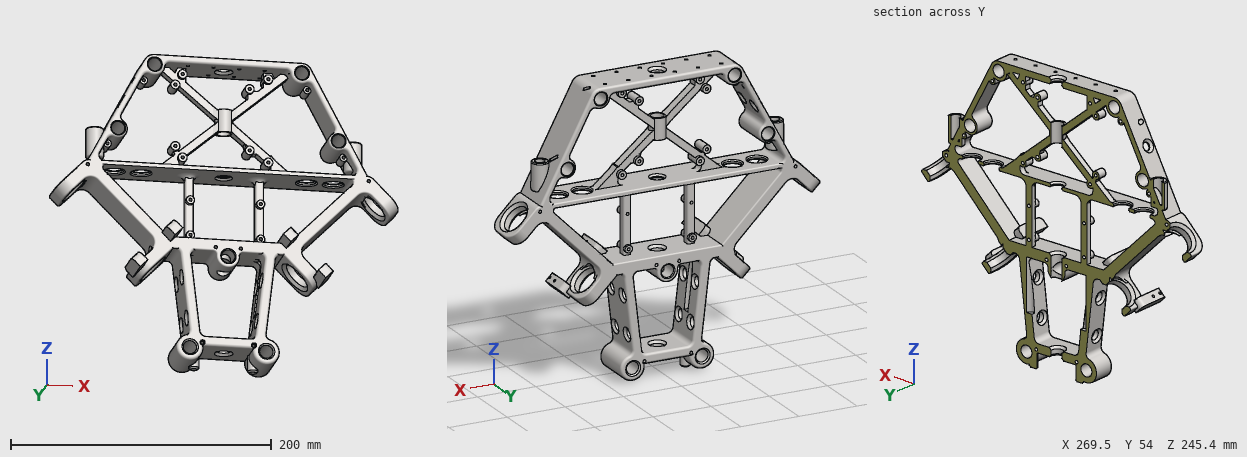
import cadquery as cq
import math

DEPTH = 36.0
FRONT = -DEPTH / 2
LUG_FRONT = -36.0
ROOT2 = math.sqrt(2)
CUT = 400.0

LOWER_DECK_BOTTOM = -9.5
MID_DECK_TOP = 58.0
MID_DECK_BOTTOM = 54.6
TOP_Z = 145.6
TOP_BAR = 5.9
BASE_TOP = -78.2
BASE_BOTTOM = -86.2

WALL_ANGLE = math.radians(62)
WALL = 5.0
CORNER_X = 57.6
BOSS_R = 8.3
CORNER_Z = TOP_Z - BOSS_R
WALL_BOSS_Z = 84.5
WALL_BOSS_R = 7.5
BEARING_D = 10.5

STRUT_U_IN = 33.2
STRUT_U_OUT = 42.4
EAR_TIP_U = 71.4
EAR_THICKNESS = 10.5
UPPER_EAR_V = 119.8
LOWER_EAR_V = 34.4
EAR_HOLE_U = 54.7
EAR_HOLE_D = 22.5
EAR_HOLE_RIM = 2.5
EAR_CORNER_R = 11.0
ELBOW_R = 8.0

LEG_SLOPE = math.tan(math.radians(6.7))
LEG_IN_TOP = 29.5
LEG_WIDTH = 7.9
LEG_HOLE_Z = (-29.0, -61.5)
LEG_HOLE_D = 8.0
FOOT = (29.9, -87.8)
FOOT_R = 10.3
FOOT_HOLE_D = 10.4
LEG_FLUTE_TOP = (26.0, 1.0, LOWER_DECK_BOTTOM)
LEG_FLUTE_D = 7.0
LEG_FLUTE_LENGTH = 45.8

WALL_ROUND = 1.9
STRUT_ROUND = 1.1
LEG_ROUND = 2.0
RIM = 2.0

STEERING = (0, -13.3)
STEERING_D = 17.6

HUB_Z = 99.2
HUB_D = 14.0
HUB_HEIGHT = 18.0
HUB_THROAT = 9.2
THROAT_ANGLE = math.radians(44)
ARM_ANGLE = math.radians(40)
ARM_WIDTH = 6.0
ARM_DEPTH = 8.0
BRACE_GUSSET_X = 36.0
SMALL_BOSS_D = 7.0
SMALL_BOSS_HALF = 7.0
BRACE_BOSSES = [(33.5, 134.2), (18.9, 125.4), (18.9, 76.1), (33.5, 67.3),
                (-33.5, 134.2), (-39.2, 125.4), (-39.2, 76.1), (-33.5, 67.3)]
BRACE_WEBS = [
    [(18.0, 124.8), (18.0, 115.0), (29.0, 124.8)],
    [(15.6, 82.0), (18.9, 74.4), (26.0, 74.4)],
    [(-41.0, 75.0), (-38.0, 77.0), (-34.0, 68.0), (-37.0, 66.0)],
]

POST_X = 27.5
POST_WIDTH = 6.4
POST_DEPTH = 8.0
POST_FLARE = 6.0
POST_SCREW_Z = (33.5, 5.3)
POST_BOSS_REACH = 7.5
POST_BOSS_BACK = 6.0

LUG_BACK = -7.0
LUG_WIDTH = 8.3
LUG_V = (29.0, 38.6)
LUG_STARTS = (26.7, 65.3)
LUG_ROUND = 4.5
LUG_SCREW_Y = (-23.4, -31.5)
LUG_SCREW_D = 2.2
LUG_SCREW_DEPTH = 8.0

CUP_X = 101.0
CUP_D = 14.0
CUP_BORE_D = 8.0
CUP_FLOOR = 4.0
CUP_TOP = 88.1
CUP_BOTTOM = 64.5
STUB_X = 23.1
STUB_Y = 2.0
STUB_D = 8.3
STUB_BOTTOM = TOP_Z - 245.36
SCREW_D = 2.4
WALL_SCREWS = [(64.0, 127.3), (92.4, 74.9)]
WALL_SCREW_BOSS_D = 6.0
WALL_HOLE_Z = 108.4
WALL_HOLE_D = 7.0
SLANT_HOLE_Z = 125.3
SLANT_HOLE_Y = 12.0
SLANT_HOLE_D = 4.0
GROOVE_D = 2.3
FOOT_SCREW = (20.1, -83.5)
FOOT_SCREW_RECESS_D = 3.76
NODE_SCREW = (109.9, 53.8)
DECK_SCREW = (9.8, -6.6)

CENTRE_HOLE_D = 10.4
DECK_HOLE_X = (-85.7, -64.7, 64.7, 85.7)
DECK_HOLE_D = 15.0
HOLE_Y = 10.0
TOP_HOLE_PITCH = 20.0
TOP_HOLE_COLUMNS = 6
TOP_HOLE_D = 2.5


def turned(u, v):
    """X and Z of a point given in the turned axes."""
    return (u + v) / ROOT2, (v - u) / ROOT2


def mirrored(points):
    """Close a right-hand half outline with its mirror image."""
    return points + [(-x, z) for x, z in reversed(points)]


def plate(points, front=FRONT, back=-FRONT):
    """Extrude an X-Z outline along Y."""
    return cq.Workplane("XZ", origin=(0, back, 0)).polyline(points).close().extrude(back - front)


def rod(x, z, diameter, front=FRONT, back=-FRONT):
    """Cylinder along Y."""
    return cq.Workplane("XZ", origin=(x, back, z)).circle(diameter / 2).extrude(back - front)


def pin(centre, direction, diameter, length):
    """Cylinder of any direction, starting at its centre point."""
    start = cq.Vector(*centre)
    return cq.Workplane(cq.Solid.makeCylinder(diameter / 2, length, start, cq.Vector(*direction)))


def cone(centre, direction, diameter, depth):
    """45 degree countersink that starts at a surface and narrows along its direction."""
    mouth = diameter / 2 + depth
    return cq.Workplane(
        cq.Solid.makeCone(mouth, mouth - depth, depth, cq.Vector(*centre), cq.Vector(*direction))
    )


def turned_box(u, v, y):
    """Box between pairs of limits along u, v and Y, still lying with u along X and v along Z."""
    size = [high - low for low, high in (u, y, v)]
    return cq.Workplane("XY").box(*size, centered=False).translate((u[0], y[0], v[0]))


def turn(shape):
    """Swing a shape from u, v along X, Z into its place on the part."""
    return shape.rotate((0, 0, 0), (0, 1, 0), 45)


def rimmed_hole(centre, axis, diameter, thickness, rim=RIM):
    """Cutter for a through hole with both rims broken; the axis points into the material."""
    start = cq.Vector(*centre)
    way = cq.Vector(*axis).normalized()
    end = start + way * thickness
    cutter = pin((start - way).toTuple(), way.toTuple(), diameter, thickness + 2)
    cutter = cutter.union(cone(start.toTuple(), way.toTuple(), diameter, rim))
    return cutter.union(cone(end.toTuple(), (-way).toTuple(), diameter, rim))


def both_sides(shape):
    """The shape together with its mirror image in the Y-Z plane."""
    return shape.union(shape.mirror("YZ"))


def near(body, points, radius, reach=1.0):
    """Fillet the edges along Y that pass close to the given X-Z points and their mirror images."""
    wanted = points + [(-x, z) for x, z in points]

    def close(edge):
        c = edge.Center()
        return any(math.hypot(c.x - x, c.z - z) < reach for x, z in wanted)

    edges = [edge for edge in body.edges("|Y").vals() if close(edge)]
    return body.newObject(edges).fillet(radius)


def wall_x(z, inset=0.0):
    """X of the right wall at height z, measured inward from its outer face."""
    reach = (BOSS_R - inset - (z - CORNER_Z) * math.cos(WALL_ANGLE)) / math.sin(WALL_ANGLE)
    return CORNER_X + reach


def leg_x(z, offset=0.0):
    """X of the right leg at height z, measured outward from its inner face."""
    return LEG_IN_TOP + (z - LOWER_DECK_BOTTOM) * LEG_SLOPE + offset


BRACE_FOOT_X = (HUB_Z - MID_DECK_TOP + ARM_WIDTH / 2 / math.cos(ARM_ANGLE)) / math.tan(ARM_ANGLE)
WALL_BOSS_X = wall_x(WALL_BOSS_Z, WALL_BOSS_R + 0.3)
WALL_GROOVES = [
    ((62.5, 8.0, 144.4), (65.2, 2.5, 141.4)),
    ((wall_x(93.0), 9.0, 93.0), (wall_x(87.6), 1.6, 87.6)),
]
BOSS_NOTCHES = [(49.8, 140.1), (64.1, 132.1), (86.5, 91.0), (92.7, 79.5)]


def upper_frame():
    """Top bar and sloping walls with their four bearing bosses."""
    top_x = wall_x(TOP_Z)
    under = TOP_Z - TOP_BAR
    foot_z = MID_DECK_BOTTOM - 5
    outline = mirrored([(top_x, TOP_Z), (wall_x(foot_z), foot_z)])
    wall_foot = (wall_x(MID_DECK_TOP, WALL), MID_DECK_TOP)
    opening = mirrored([(wall_x(under, WALL), under), wall_foot])
    body = near(plate(outline), [(top_x, TOP_Z)], BOSS_R)
    body = body.cut(plate(opening))
    body = near(body, [wall_foot], 4.0)
    body = body.union(both_sides(rod(CORNER_X, CORNER_Z, 2 * BOSS_R)))
    body = body.union(both_sides(rod(WALL_BOSS_X, WALL_BOSS_Z, 2 * WALL_BOSS_R)))
    body = near(body.clean(), BOSS_NOTCHES, 4.0, reach=2.5)
    body = body.faces("<Y or >Y").edges().fillet(WALL_ROUND)
    return body.cut(cq.Workplane("XY", origin=(0, 0, MID_DECK_BOTTOM)).rect(CUT, CUT).extrude(-CUT))


def ear_corners(v_top):
    """What rounds the two free corners of an ear."""
    u = (EAR_TIP_U - EAR_CORNER_R - 1, EAR_TIP_U)
    v = (v_top - EAR_THICKNESS - 0.5, v_top + 0.5)
    blank = turned_box(u, v, (FRONT, -FRONT))
    rounded = blank.edges("|Z and >X").fillet(EAR_CORNER_R)
    return turn(blank.cut(rounded))


def middle_frame():
    """Lower and middle decks, the struts between them and the ears."""
    low_ear_bottom = LOWER_EAR_V - EAR_THICKNESS
    high_ear_bottom = UPPER_EAR_V - EAR_THICKNESS
    shoulder = (UPPER_EAR_V * ROOT2 - MID_DECK_TOP, MID_DECK_TOP)
    elbows = [turned(STRUT_U_OUT, high_ear_bottom), turned(STRUT_U_OUT, LOWER_EAR_V)]
    outline = mirrored([
        shoulder,
        turned(EAR_TIP_U, UPPER_EAR_V),
        turned(EAR_TIP_U, high_ear_bottom),
        *elbows,
        turned(EAR_TIP_U, LOWER_EAR_V),
        turned(EAR_TIP_U, low_ear_bottom),
        (low_ear_bottom * ROOT2 - LOWER_DECK_BOTTOM, LOWER_DECK_BOTTOM),
    ])
    node = (MID_DECK_BOTTOM + STRUT_U_IN * ROOT2, MID_DECK_BOTTOM)
    opening = mirrored([node, (STRUT_U_IN * ROOT2, 0)])
    body = plate(outline).cut(plate(opening))
    body = near(body, elbows, ELBOW_R)
    body = near(body, [node], 2.5)
    body = near(body, [shoulder], 8.0)
    for v in (UPPER_EAR_V, LOWER_EAR_V):
        body = body.cut(both_sides(ear_corners(v)))
    return body.faces("<Y or >Y").edges().fillet(STRUT_ROUND)


def legs():
    """Tapering legs, the base deck between them and the feet."""
    offset = LEG_WIDTH * math.sqrt(1 + LEG_SLOPE**2)
    shoulder = 42.0
    outer_top = (leg_x(LOWER_DECK_BOTTOM, offset), LOWER_DECK_BOTTOM)
    outline = mirrored([
        (shoulder, LOWER_DECK_BOTTOM / 2),
        (shoulder, LOWER_DECK_BOTTOM),
        outer_top,
        (leg_x(BASE_BOTTOM, offset), BASE_BOTTOM),
    ])
    inner_corners = [(leg_x(LOWER_DECK_BOTTOM), LOWER_DECK_BOTTOM), (leg_x(BASE_TOP), BASE_TOP)]
    body = plate(outline).cut(plate(mirrored(inner_corners)))
    body = near(body, [outer_top, *inner_corners], 4.5)
    body = body.union(both_sides(rod(*FOOT, 2 * FOOT_R))).clean()
    foot_top = FOOT[1] + FOOT_R
    body = near(body, [(leg_x(foot_top, offset), foot_top)], 4.0)
    return body.faces("<Y or >Y").edges().fillet(LEG_ROUND)


def steering_boss():
    """Bearing boss under the middle of the lower deck, faired into it on each side."""
    x, z = STEERING
    body = rod(x, z, STEERING_D)
    half = STEERING_D / 2 + 4.5
    body = body.union(plate(mirrored([(half, LOWER_DECK_BOTTOM / 2), (half, LOWER_DECK_BOTTOM)])))
    body = body.union(plate(mirrored([(STEERING_D / 2, LOWER_DECK_BOTTOM), (STEERING_D / 2, z)])))
    body = near(body.clean(), [(STEERING_D / 2, LOWER_DECK_BOTTOM)], 3.0)
    return body.faces("<Y or >Y").edges().fillet(STRUT_ROUND)


def cross_brace():
    """Vertical sleeve carried by four sloping arms, with the small bosses beside the arms."""
    half = ARM_DEPTH / 2
    top = TOP_Z - TOP_BAR + 1
    bottom = MID_DECK_TOP - 1
    rise = ARM_WIDTH / 2 / math.cos(ARM_ANGLE)

    def reach(z, shift):
        return (abs(z - HUB_Z) + shift) / math.tan(ARM_ANGLE)

    upper = [(0, HUB_Z - rise), (reach(top, rise), top), (reach(top, -rise), top), (0, HUB_Z + rise)]
    lower = [(x, 2 * HUB_Z - z) for x, z in upper]
    low_end = reach(bottom, rise)
    lower[1:3] = [(low_end, bottom), (reach(bottom, -rise), bottom)]
    arms = plate(upper, -half, half).union(plate(lower, -half, half))
    gusset_top = HUB_Z - (BRACE_GUSSET_X - 6) * math.tan(ARM_ANGLE)
    gusset = [(BRACE_GUSSET_X, gusset_top), (BRACE_GUSSET_X, bottom), (low_end - 4, bottom)]
    arms = both_sides(arms.union(plate(gusset, -half, half)))
    sleeve = cq.Workplane("XY", origin=(0, 0, HUB_Z - HUB_HEIGHT / 2)).circle(HUB_D / 2).extrude(HUB_HEIGHT)
    body = arms.union(sleeve)
    sleeve_x = HUB_D / 2 * math.cos(THROAT_ANGLE)
    sleeve_y = HUB_D / 2 * math.sin(THROAT_ANGLE)
    throat = [(HUB_THROAT, half), (sleeve_x, sleeve_y), (sleeve_x, -sleeve_y), (HUB_THROAT, -half)]
    block = cq.Workplane("XY", origin=(0, 0, bottom)).polyline(throat).close().extrude(top - bottom)
    for arm in (upper, lower):
        body = body.union(both_sides(plate(arm, -HUB_D, HUB_D).intersect(block)))
    hanger = [(30.4, top), (30.4, HUB_Z + 27), (40, HUB_Z + 34), (36.5, top)]
    body = body.union(both_sides(plate(hanger, -half, half)))
    for web in BRACE_WEBS:
        body = body.union(plate(web, -half, half))
    for x, z in BRACE_BOSSES:
        body = body.union(rod(x, z, SMALL_BOSS_D, -SMALL_BOSS_HALF, SMALL_BOSS_HALF))
    return body


def post():
    """Right-hand post between the lower and middle decks, with two screw bosses."""
    height = MID_DECK_BOTTOM + 2
    body = cq.Workplane("XY", origin=(POST_X, 0, -1)).rect(POST_WIDTH, POST_DEPTH).extrude(height)
    body = body.edges("|Z").fillet(1.5)
    flare_z = MID_DECK_BOTTOM - POST_FLARE
    rim_x = POST_WIDTH / 2 + POST_FLARE
    flare = cq.Workplane("XZ").polyline([
        (0, flare_z),
        (POST_WIDTH / 2, flare_z),
        (rim_x, MID_DECK_BOTTOM),
        (0, MID_DECK_BOTTOM),
    ]).close().revolve(360, (0, 0, 0), (0, 1, 0)).translate((POST_X, 0, 0))
    hollow = cq.Workplane("XZ").center(rim_x, flare_z).circle(POST_FLARE)
    hollow = hollow.revolve(360, (-rim_x, 0, 0), (-rim_x, 1, 0))
    body = body.union(flare.cut(hollow.translate((POST_X, 0, 0))))
    for z, back in zip(POST_SCREW_Z, (0, POST_BOSS_BACK)):
        body = body.union(rod(POST_X, z, POST_WIDTH, -POST_BOSS_REACH, back))
    return body


def lug(u_start):
    """Forward lug standing square to a strut, with rounded outer corners and two screw holes."""
    u = (u_start, u_start + LUG_WIDTH)
    body = turned_box(u, LUG_V, (LUG_FRONT, LUG_BACK))
    body = body.edges("(<Y or >Y) and >Z").fillet(LUG_ROUND)
    for y in LUG_SCREW_Y:
        mouth = (u_start + LUG_WIDTH / 2, y, LUG_V[1])
        body = body.cut(pin(mouth, (0, 0, -1), LUG_SCREW_D, LUG_SCREW_DEPTH))
    return turn(body)


def cup():
    """Upright cup standing half outside the right wall."""
    height = CUP_TOP - CUP_BOTTOM
    body = cq.Workplane("XY", origin=(CUP_X, 0, CUP_BOTTOM)).circle(CUP_D / 2).extrude(height)
    body = body.faces(">Z").edges().chamfer(0.8)
    body = body.faces("<Z").edges().fillet(1.5)
    return body.faces(">Z").workplane().hole(CUP_BORE_D, height - CUP_FLOOR)


def foot_stub():
    """Short upright stub under the inner side of the right foot."""
    body = cq.Workplane("XY", origin=(STUB_X, STUB_Y, STUB_BOTTOM)).circle(STUB_D / 2)
    body = body.extrude(BASE_TOP - 2 - STUB_BOTTOM)
    return body.faces("<Z").edges().chamfer(1.3)


def deck_holes():
    """Holes through the top bar, the decks and the sleeve."""
    down = (0, 0, -1)
    mid_deck = MID_DECK_TOP - MID_DECK_BOTTOM
    cuts = [rimmed_hole((0, 0, MID_DECK_TOP), down, CENTRE_HOLE_D, mid_deck, 1.5)]
    for x in DECK_HOLE_X:
        cuts.append(rimmed_hole((x, 0, MID_DECK_TOP), down, DECK_HOLE_D, mid_deck, 1.0))
    cuts.append(rimmed_hole((0, 0, TOP_Z), down, CENTRE_HOLE_D, TOP_BAR))
    cuts.append(rimmed_hole((0, 0, BASE_TOP), down, CENTRE_HOLE_D, BASE_TOP - BASE_BOTTOM))
    cuts.append(cone((0, 0, 0), down, CENTRE_HOLE_D, RIM))
    cuts.append(pin((0, 0, 1), down, CENTRE_HOLE_D, 1 - STEERING[1] + STEERING_D))
    cuts.append(pin((0, 0, HUB_Z + HUB_HEIGHT), down, CENTRE_HOLE_D, 2 * HUB_HEIGHT))
    for column in range(TOP_HOLE_COLUMNS):
        x = (column - (TOP_HOLE_COLUMNS - 1) / 2) * TOP_HOLE_PITCH
        for y in (-HOLE_Y, HOLE_Y):
            cuts.append(pin((x, y, TOP_Z + 1), down, TOP_HOLE_D, TOP_BAR + 2))
    return cuts


def wall_holes():
    """Two large holes and two slanting ones, in the left wall only."""
    inward = (math.sin(WALL_ANGLE), 0, -math.cos(WALL_ANGLE))
    cuts = []
    for side in (-1, 1):
        mouth = (-wall_x(WALL_HOLE_Z), side * HOLE_Y, WALL_HOLE_Z)
        cuts.append(rimmed_hole(mouth, inward, WALL_HOLE_D, WALL))
        slant = (inward[0], -side, inward[2])
        mouth = cq.Vector(-wall_x(SLANT_HOLE_Z), side * SLANT_HOLE_Y, SLANT_HOLE_Z)
        start = mouth - cq.Vector(*slant) * 6
        cuts.append(pin(start.toTuple(), slant, SLANT_HOLE_D, 14))
    return cuts


def right_side_cuts():
    """Cutters on the right-hand half that repeat on the left."""
    length = DEPTH + 2
    start = FRONT - 1
    back = (0, 1, 0)
    cuts = []
    for x, z in [(CORNER_X, CORNER_Z), (WALL_BOSS_X, WALL_BOSS_Z)]:
        cuts.append(rimmed_hole((x, FRONT, z), back, BEARING_D, DEPTH, 0.6))
    cuts.append(rimmed_hole((FOOT[0], FRONT, FOOT[1]), back, FOOT_HOLE_D, DEPTH, 1.2))
    post_screws = [(POST_X, z) for z in POST_SCREW_Z]
    for x, z in WALL_SCREWS + [NODE_SCREW, DECK_SCREW, FOOT_SCREW] + post_screws:
        cuts.append(pin((x, start, z), back, SCREW_D, length))
    cuts.append(pin((FOOT_SCREW[0], start, FOOT_SCREW[1]), back, FOOT_SCREW_RECESS_D, 3.0))
    for v in (UPPER_EAR_V, LOWER_EAR_V):
        under = v - EAR_THICKNESS
        hole = pin((EAR_HOLE_U, 0, under - 1), (0, 0, 1), EAR_HOLE_D, EAR_THICKNESS + ELBOW_R + 2)
        hole = hole.union(cone((EAR_HOLE_U, 0, v), (0, 0, -1), EAR_HOLE_D, EAR_HOLE_RIM))
        hole = hole.union(cone((EAR_HOLE_U, 0, under), (0, 0, 1), EAR_HOLE_D, EAR_HOLE_RIM))
        cuts.append(turn(hole))
    for groove_start, groove_end in WALL_GROOVES:
        way = cq.Vector(*groove_end) - cq.Vector(*groove_start)
        cuts.append(pin(groove_start, way.toTuple(), GROOVE_D, way.Length))
    for z in LEG_HOLE_Z:
        for y in (-HOLE_Y, HOLE_Y):
            cuts.append(rimmed_hole((leg_x(z), y, z), (1, 0, -LEG_SLOPE), LEG_HOLE_D, LEG_WIDTH))
    cuts.append(pin(LEG_FLUTE_TOP, (0, 0, -1), LEG_FLUTE_D, LEG_FLUTE_LENGTH))
    return cuts


def build():
    """Join the frame and the added bodies, then cut every hole."""
    body = middle_frame().union(upper_frame()).union(legs()).union(steering_boss())
    body = body.union(cross_brace())
    body = near(body, [(BRACE_GUSSET_X, MID_DECK_TOP), (BRACE_FOOT_X, MID_DECK_TOP)], 4.0)
    body = body.union(both_sides(post()))
    for u_start in LUG_STARTS:
        body = body.union(both_sides(lug(u_start)))
    body = body.union(both_sides(cup())).union(both_sides(foot_stub()))
    for x, z in WALL_SCREWS:
        body = body.union(both_sides(rod(x, z, WALL_SCREW_BOSS_D, -SMALL_BOSS_HALF, SMALL_BOSS_HALF)))
    for cutter in deck_holes() + wall_holes():
        body = body.cut(cutter)
    for cutter in right_side_cuts():
        body = body.cut(both_sides(cutter))
    body = body.cut(rimmed_hole((STEERING[0], FRONT, STEERING[1]), (0, 1, 0), BEARING_D, DEPTH, 0.8))
    for x, z in BRACE_BOSSES:
        body = body.cut(rod(x, z, SCREW_D))
    return body


result = build()